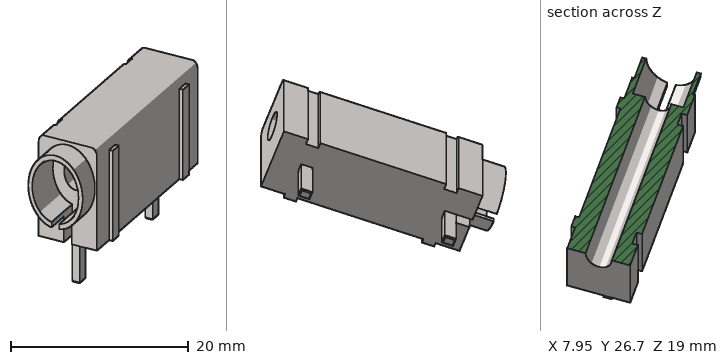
import cadquery as cq

total_length = 26.73
total_width = 7.95
total_height = 19.0
body_width = 7.48
body_length = 23.82
body_height = 13.0
sleeve_length = total_length - body_length
pin_length = total_height - body_height

corner_width = 0.72
corner_height = 1.0

axis_height = 7.89
sleeve_size = (6.98, 9.33)
socket_size = (5.93, 8.0)
bore_size = (3.05, 4.1)

pin_width = 1.0
pin_depth = 1.35
pin_setback = 1.98
pin_pitch = 17.21
pin_tip_width_cut = 0.13
pin_tip_height = 0.2

lock_width = 1.47
lock_groove_depth = 0.67
lock_rib_height = 11.52
lock_rib_depth = total_width - body_width
rear_lock_center = body_length - 3.64
lock_pitch = 16.57
lock_centers = (rear_lock_center - lock_pitch, rear_lock_center)


def box(x_range, y_range, z_range):
    """Box spanning the given (low, high) ranges."""
    sizes = [high - low for low, high in (x_range, y_range, z_range)]
    corner = (x_range[0], y_range[0], z_range[0])
    return cq.Workplane("XY").box(*sizes, centered=False).translate(corner)


def oval_bar(size, y_start, y_end):
    """Elliptical bar along Y, centred on the sleeve axis."""
    plane = cq.Workplane("XZ", origin=(0, y_start, axis_height))
    return plane.ellipse(size[0] / 2, size[1] / 2).extrude(y_start - y_end)


def body():
    """Main block with elliptically rounded top edges."""
    side = body_width / 2
    shoulder = body_height - corner_height
    flat = side - corner_width
    return (
        cq.Workplane("XZ")
        .moveTo(-side, 0)
        .lineTo(side, 0)
        .lineTo(side, shoulder)
        .ellipseArc(corner_width, corner_height, 0, 90, startAtCurrent=True)
        .lineTo(-flat, body_height)
        .ellipseArc(corner_width, corner_height, 90, 180, startAtCurrent=True)
        .close()
        .extrude(-body_length)
    )


def pin(front_y):
    """Downward pin whose tip is bevelled on all four sides."""
    shank_end = pin_tip_height - pin_length
    center_y = front_y + pin_depth / 2
    shank = box((-pin_width / 2, pin_width / 2), (front_y, front_y + pin_depth), (shank_end, 0))
    tip = (
        cq.Workplane("XY", origin=(0, center_y, shank_end))
        .rect(pin_width, pin_depth)
        .workplane(offset=-pin_tip_height)
        .rect(pin_width - 2 * pin_tip_width_cut, pin_depth - 2 * pin_tip_width_cut)
        .loft(ruled=True)
    )
    return shank.union(tip)


result = body().union(oval_bar(sleeve_size, -sleeve_length, pin_setback))

result = result.cut(oval_bar(socket_size, -sleeve_length, pin_setback))
result = result.cut(oval_bar(bore_size, -sleeve_length, body_length))
slit = box((-pin_width / 2, pin_width / 2), (-sleeve_length, pin_setback), (0, axis_height))
result = result.cut(slit)

half_width = body_width / 2
for center in lock_centers:
    lock_span = (center - lock_width / 2, center + lock_width / 2)
    groove = box((-half_width, lock_groove_depth - half_width), lock_span, (0, body_height))
    rib = box((half_width, half_width + lock_rib_depth), lock_span, (0, lock_rib_height))
    result = result.cut(groove).union(rib)

for front_y in (pin_setback, pin_setback + pin_pitch):
    result = result.union(pin(front_y))